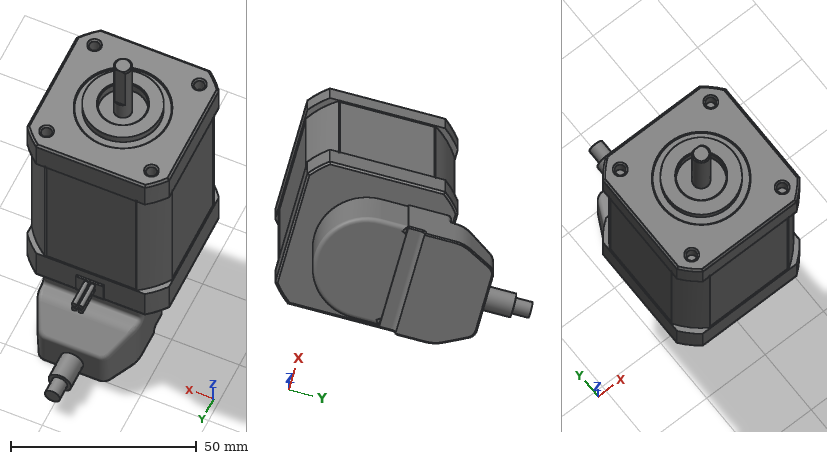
import cadquery as cq
ENCODER_BOTTOM = 2.8
REAR_CAP_BOTTOM = 20.0
REAR_CAP_TOP = 30.3
FRONT_CAP_BOTTOM = 72.5
FRONT_CAP_TOP = 81.0
PILOT_TOP = 82.9
SHAFT_FLAT_START = 85.7
SHAFT_TOP = 101.0

CAP_WIDTH = 42.0
CAP_CORNER_RADIUS = 26.5
CAP_CHAMFER = 0.6
SCREW_SPACING = 31.0
SCREW_DIAMETER = 3.0
SCREW_DEPTH = 4.5
SCREW_COUNTERSINK = 4.0
COUNTERSINK_ANGLE = 90

BODY_RADIUS = 24.8
BODY_FLAT_OFFSET = 20.6
BODY_FLAT_HALF = 13.1
BODY_FLAT_SPREAD = 8.5
BODY_SIDES = 4

PILOT_RADIUS = 11.0
RING_RADIUS = 13.3
RING_DEPTH = 0.3
POCKET_RADIUS = 6.8
POCKET_DEPTH = 3.0
POCKET_CHAMFER = 0.3

SHAFT_RADIUS = 2.5
SHAFT_FLAT_OFFSET = 2.0
SHAFT_CHAMFER = 0.4

ENCODER_RADIUS = 14.5
ENCODER_FILLET = 1.2

COVER_HALF = 14.9
COVER_START = 7.6
COVER_TAPER_START = 23.0
COVER_BEND_RADIUS = 10.1
COVER_BACK = 33.0
COVER_BACK_HALF = 9.8
COVER_CORNER_RADIUS = 3.0
COVER_BACK_TOP = 10.9
COVER_SHOULDER = 15.9
COVER_SLOPE_START = 23.7
COVER_SLOPE_RADIUS = 6.5
COVER_EDGE_FILLET = 1.4
COVER_BOTTOM_CHAMFER = 0.4
NECK_BACK = 19.8
NECK_FILLET = 1.0
STEP_BACK = 12.1
STEP_HEIGHT = 2.2
STEP_FILLET = 1.2

CABLE_HEIGHT = 4.9
BOOT_RADIUS = 3.3
BOOT_END = 40.9
CABLE_RADIUS = 2.2
CABLE_END = 45.8

GROMMET_WIDTH = 8.1
GROMMET_HEIGHT = 6.1
GROMMET_CENTER = 24.3
GROMMET_BACK = 21.6
WIRE_RADIUS = 0.7
WIRE_SPACING = 1.9
WIRE_CENTER = 25.2
WIRE_END = 29.6


def cylinder(radius, bottom, top):
    return cq.Workplane("XY").workplane(offset=bottom).circle(radius).extrude(top - bottom)


def cylinder_along_y(radius, x, z, start, end):
    plane = cq.Plane(origin=(x, start, z), xDir=(1, 0, 0), normal=(0, 1, 0))
    return cq.Workplane(plane).circle(radius).extrude(end - start)


def end_cap(bottom, top, chamfered_face):
    """Square plate whose corners are trimmed by a large circle."""
    square = cq.Workplane("XY").workplane(offset=bottom).rect(CAP_WIDTH, CAP_WIDTH).extrude(top - bottom)
    plate = square.intersect(cylinder(CAP_CORNER_RADIUS, bottom, top))
    return plate.faces(chamfered_face).edges().chamfer(CAP_CHAMFER)


def motor_body():
    """Cylinder with a shallow bevel-sided flat on each of its four sides."""
    mouth_half = BODY_FLAT_HALF + BODY_FLAT_SPREAD
    flat_cut = (
        cq.Workplane("XY")
        .workplane(offset=REAR_CAP_TOP)
        .polyline([
            (BODY_FLAT_OFFSET, -BODY_FLAT_HALF),
            (BODY_RADIUS, -mouth_half),
            (BODY_RADIUS, mouth_half),
            (BODY_FLAT_OFFSET, BODY_FLAT_HALF),
        ])
        .close()
        .extrude(FRONT_CAP_BOTTOM - REAR_CAP_TOP)
    )
    body = cylinder(BODY_RADIUS, REAR_CAP_TOP, FRONT_CAP_BOTTOM)
    for side in range(BODY_SIDES):
        body = body.cut(flat_cut.rotate((0, 0, 0), (0, 0, 1), side * 360 / BODY_SIDES))
    return body


def front_cap():
    """End cap with countersunk screw holes, a ring recess, and a pilot boss with a pocket."""
    cap = end_cap(FRONT_CAP_BOTTOM, FRONT_CAP_TOP, ">Z")
    cap = (
        cap.faces(">Z").workplane(origin=(0, 0, FRONT_CAP_TOP))
        .rect(SCREW_SPACING, SCREW_SPACING, forConstruction=True).vertices()
        .cskHole(SCREW_DIAMETER, SCREW_COUNTERSINK, COUNTERSINK_ANGLE, SCREW_DEPTH)
    )
    ring_bottom = FRONT_CAP_TOP - RING_DEPTH
    ring = cq.Workplane(cq.Solid.makeCone(
        RING_RADIUS - RING_DEPTH, RING_RADIUS, RING_DEPTH, pnt=cq.Vector(0, 0, ring_bottom)
    ))
    pilot = cylinder(PILOT_RADIUS, ring_bottom, PILOT_TOP)
    pocket = cylinder(POCKET_RADIUS, PILOT_TOP - POCKET_DEPTH, PILOT_TOP)
    pocket_chamfer = cq.Workplane(cq.Solid.makeCone(
        POCKET_RADIUS, POCKET_RADIUS + POCKET_CHAMFER, POCKET_CHAMFER,
        pnt=cq.Vector(0, 0, PILOT_TOP - POCKET_CHAMFER)
    ))
    return cap.cut(ring).union(pilot).cut(pocket).cut(pocket_chamfer)


def shaft():
    """Round shaft with a flat on its +Y side above the root."""
    rod = cylinder(SHAFT_RADIUS, PILOT_TOP - POCKET_DEPTH, SHAFT_TOP).faces(">Z").chamfer(SHAFT_CHAMFER)
    flat = cq.Workplane("XY").box(
        2 * SHAFT_RADIUS, SHAFT_RADIUS, SHAFT_TOP - SHAFT_FLAT_START, centered=(True, False, False)
    ).translate((0, SHAFT_FLAT_OFFSET, SHAFT_FLAT_START))
    return rod.cut(flat)


def encoder():
    """Housing that is round at the front and runs straight back to the cable cover."""
    height = REAR_CAP_BOTTOM - ENCODER_BOTTOM
    straight = cq.Workplane("XY").box(
        2 * ENCODER_RADIUS, COVER_START, height, centered=(True, False, False)
    ).translate((0, 0, ENCODER_BOTTOM))
    housing = cylinder(ENCODER_RADIUS, ENCODER_BOTTOM, REAR_CAP_BOTTOM).union(straight)
    return housing.faces("<Z").edges("not >Y").fillet(ENCODER_FILLET)


def cable_cover():
    """Tapered box whose roof slopes down to the back, with a neck up to the rear cap."""
    plan = (
        cq.Workplane("XY")
        .polyline([
            (-COVER_HALF, COVER_START),
            (-COVER_HALF, COVER_TAPER_START),
            (-COVER_BACK_HALF, COVER_BACK),
            (COVER_BACK_HALF, COVER_BACK),
            (COVER_HALF, COVER_TAPER_START),
            (COVER_HALF, COVER_START),
        ])
        .close()
        .extrude(REAR_CAP_BOTTOM)
        .edges("|Z and >Y").fillet(COVER_CORNER_RADIUS)
    )
    for x in (-COVER_HALF, COVER_HALF):
        bend = cq.NearestToPointSelector((x, COVER_TAPER_START, REAR_CAP_BOTTOM / 2))
        plan = plan.edges("|Z").edges(bend).fillet(COVER_BEND_RADIUS)

    side = (
        cq.Workplane("YZ")
        .polyline([
            (COVER_START, STEP_HEIGHT),
            (STEP_BACK, STEP_HEIGHT),
            (STEP_BACK, 0),
            (COVER_BACK, 0),
            (COVER_BACK, COVER_BACK_TOP),
            (COVER_SLOPE_START, COVER_SHOULDER),
            (NECK_BACK, COVER_SHOULDER),
            (NECK_BACK, REAR_CAP_BOTTOM),
            (COVER_START, REAR_CAP_BOTTOM),
        ])
        .close()
        .extrude(COVER_HALF, both=True)
    )
    for y, z, radius in (
        (STEP_BACK, STEP_HEIGHT, STEP_FILLET),
        (COVER_SLOPE_START, COVER_SHOULDER, COVER_SLOPE_RADIUS),
        (NECK_BACK, COVER_SHOULDER, NECK_FILLET),
    ):
        side = side.edges("|X").edges(cq.NearestToPointSelector((0, y, z))).fillet(radius)

    cover = plan.intersect(side)
    rear_roof_edge = cq.NearestToPointSelector((0, COVER_BACK, COVER_BACK_TOP))
    cover = cover.edges("|X").edges(rear_roof_edge).fillet(COVER_EDGE_FILLET)
    underside = cq.selectors.BoxSelector(
        (-CAP_WIDTH, 0, -STEP_HEIGHT), (CAP_WIDTH, CABLE_END, 2 * STEP_HEIGHT)
    )
    rear_bottom_edge = cq.NearestToPointSelector((0, COVER_BACK, 0))
    bottom_edges = cover.edges(underside - cq.ParallelDirSelector(cq.Vector(1, 0, 0)))
    return bottom_edges.add(cover.edges(rear_bottom_edge)).chamfer(COVER_BOTTOM_CHAMFER)


def cable():
    """Cable with a thicker boot where it leaves the cover."""
    boot = cylinder_along_y(BOOT_RADIUS, 0, CABLE_HEIGHT, NECK_BACK, BOOT_END)
    return boot.union(cylinder_along_y(CABLE_RADIUS, 0, CABLE_HEIGHT, BOOT_END, CABLE_END))


def lead_wires():
    """Four wires in a square pattern, leaving through a flat grommet."""
    leads = cq.Workplane("XY").box(
        GROMMET_WIDTH, GROMMET_BACK, GROMMET_HEIGHT, centered=(True, False, True)
    ).translate((0, 0, GROMMET_CENTER))
    for x in (-WIRE_SPACING / 2, WIRE_SPACING / 2):
        for dz in (-WIRE_SPACING / 2, WIRE_SPACING / 2):
            leads = leads.union(cylinder_along_y(WIRE_RADIUS, x, WIRE_CENTER + dz, 0, WIRE_END))
    return leads


result = (
    motor_body()
    .union(front_cap())
    .union(end_cap(REAR_CAP_BOTTOM, REAR_CAP_TOP, "<Z"))
    .union(shaft())
    .union(encoder())
    .union(cable_cover())
    .union(cable())
    .union(lead_wires())
)